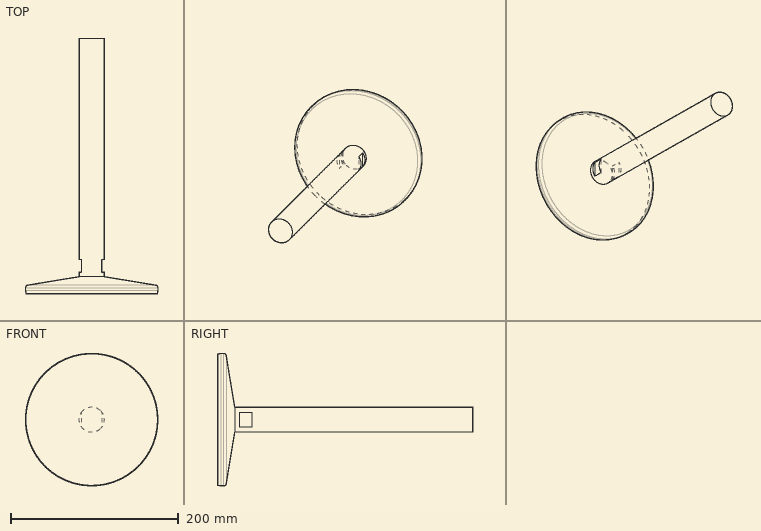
import cadquery as cq
import math

total_length = 304.0
stem_diameter = 30.0
disc_diameter = 158.0

sole_diameter = 156.6
taper_height = 3.8
rim_top = 7.1
cone_top = 20.5
shoulder_radius = 3.4

flats_across = 24.5
flats_start = 25.8
flats_length = 15.0

stem_radius = stem_diameter / 2
disc_radius = disc_diameter / 2
sole_radius = sole_diameter / 2
shoulder_center_radius = disc_radius - shoulder_radius


def cone_slope():
    """Angle between sole and cone, for a cone from the stem tangent to the shoulder arc."""
    across = shoulder_center_radius - stem_radius
    drop = cone_top - rim_top
    return math.atan2(drop, across) - math.asin(shoulder_radius / math.hypot(across, drop))


def shoulder_point(angle):
    """Point on the shoulder arc, angle measured from the radial direction."""
    return (
        shoulder_center_radius + shoulder_radius * math.cos(angle),
        rim_top + shoulder_radius * math.sin(angle),
    )


def make_body():
    """Disc and stem revolved together; the shoulder arc is tangent to both rim and cone."""
    arc_end_angle = math.pi / 2 - cone_slope()
    return (
        cq.Workplane("XY")
        .moveTo(0, 0)
        .lineTo(sole_radius, 0)
        .lineTo(disc_radius, taper_height)
        .lineTo(disc_radius, rim_top)
        .threePointArc(shoulder_point(arc_end_angle / 2), shoulder_point(arc_end_angle))
        .lineTo(stem_radius, cone_top)
        .lineTo(stem_radius, total_length)
        .lineTo(0, total_length)
        .close()
        .revolve(360, (0, 0, 0), (0, 1, 0))
    )


def make_flat_cutter(side):
    """Block that removes the stem outside one wrench flat; side is -1 or +1 along X."""
    return cq.Workplane("XY").box(stem_diameter, flats_length, stem_diameter).translate(
        (side * (flats_across / 2 + stem_radius), flats_start + flats_length / 2, 0)
    )


result = make_body()
for flat_side in (-1, 1):
    result = result.cut(make_flat_cutter(flat_side))